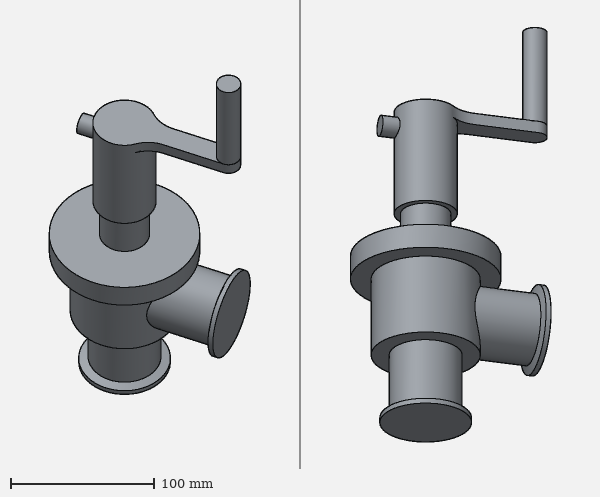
import cadquery as cq
import math

total_height = 311.0

pipe_diameter = 51.0
ferrule_diameter = 64.0
rim_thickness = 3.7
taper_height = 2.0

chamber_diameter = 76.2
chamber_bottom = 52.0
chamber_top = 110.5
flange_diameter = 105.0
flange_top = 128.0
outlet_height = 81.8
outlet_reach = 81.8

stem_diameter = 35.0
hub_diameter = 44.0
hub_bottom = 160.7
hub_top = 238.8
arm_thickness = 8.7
blend_radius = 25.5
pin_diameter = 15.0
pin_height = 224.2
pin_reach = 33.3

grip_diameter = 17.0
arm_reach = 88.0
grip_x = arm_reach - grip_diameter / 2


def cylinder(diameter, bottom, top):
    """Upright cylinder on the main axis."""
    return cq.Workplane("XY").workplane(offset=bottom).circle(diameter / 2).extrude(top - bottom)


def make_port(length):
    """Pipe with a ferrule at its start, along +Z from the origin."""
    rim_radius = ferrule_diameter / 2
    pipe_radius = pipe_diameter / 2
    taper_top = rim_thickness + taper_height
    return (
        cq.Workplane("XZ")
        .moveTo(0, 0)
        .lineTo(rim_radius, 0)
        .lineTo(rim_radius, rim_thickness)
        .lineTo(pipe_radius, taper_top)
        .lineTo(pipe_radius, length)
        .lineTo(0, length)
        .close()
        .revolve(360, (0, 0, 0), (0, 1, 0))
    )


def make_housing():
    """Flanged chamber with a bottom inlet and a side outlet."""
    chamber = cylinder(chamber_diameter, chamber_bottom, chamber_top)
    flange = cylinder(flange_diameter, chamber_top, flange_top)
    inlet = make_port(chamber_bottom)
    outlet = (
        make_port(outlet_reach)
        .rotate((0, 0, 0), (0, 1, 0), -90)
        .translate((outlet_reach, 0, outlet_height))
    )
    return chamber.union(flange).union(inlet).union(outlet)


def make_arm():
    """Flat arm whose sides flow into the hub through tangent arcs."""
    hub_radius = hub_diameter / 2
    half_width = grip_diameter / 2
    centre_distance = hub_radius + blend_radius
    blend_y = half_width + blend_radius
    blend_x = math.sqrt(centre_distance**2 - blend_y**2)
    hub_share = hub_radius / centre_distance
    start_x = blend_x * hub_share
    start_y = blend_y * hub_share
    middle_angle = (math.atan2(blend_y, blend_x) + math.pi / 2) / 2
    middle_x = blend_x - blend_radius * math.cos(middle_angle)
    middle_y = blend_y - blend_radius * math.sin(middle_angle)
    return (
        cq.Workplane("XY")
        .workplane(offset=hub_top - arm_thickness)
        .moveTo(0, 0)
        .lineTo(start_x, start_y)
        .threePointArc((middle_x, middle_y), (blend_x, half_width))
        .lineTo(grip_x, half_width)
        .threePointArc((arm_reach, 0), (grip_x, -half_width))
        .lineTo(blend_x, -half_width)
        .threePointArc((middle_x, -middle_y), (start_x, -start_y))
        .close()
        .extrude(arm_thickness)
    )


def make_crank():
    """Stem and hub carrying the arm on one side and a pin on the other."""
    stem = cylinder(stem_diameter, flange_top, hub_bottom)
    hub = cylinder(hub_diameter, hub_bottom, hub_top)
    pin = cq.Workplane("YZ").center(0, pin_height).circle(pin_diameter / 2).extrude(-pin_reach)
    return stem.union(hub).union(pin).union(make_arm())


def make_grip():
    """Round handle standing on the end of the arm."""
    return cylinder(grip_diameter, hub_top, total_height).translate((grip_x, 0, 0))


housing = make_housing()
crank = make_crank()
grip = make_grip()

result = cq.Compound.makeCompound([housing.val(), crank.val(), grip.val()])